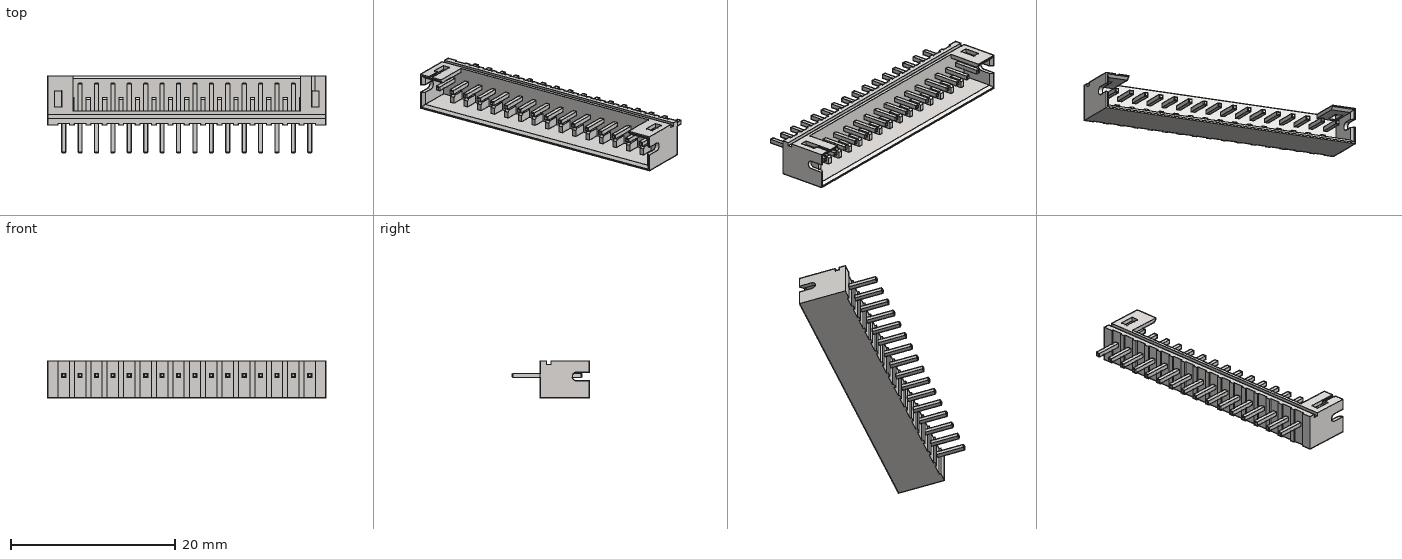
import cadquery as cq

body_length = 33.9
body_depth = 6.0
body_height = 4.5

pin_count = 16
pitch = 2.0
pin_size = 0.5
pin_tail = 3.4
pin_tip_y = 5.12
pin_z = 2.75
pin_chamfer = 0.1

wall = 0.5
floor_y = 1.73
mouth_chamfer = 0.35

end_block = 3.1

rib_width = 0.5
rib_tip_y = 3.4
rib_height = 1.02
rib_chamfer = 0.25

slot_width = 1.02
slot_depth = 2.07
slot_z = 2.6

window_inset = 0.8
window_width = 0.9
window_start_y = 2.25
window_end_y = 4.17
key_slot_width = 0.45
key_slot_depth = 0.17

groove_start_y = 0.8
groove_width = 0.5
groove_depth = 0.4

recess_width = 1.4
recess_depth = 0.2

pin_positions = [pitch * (i - (pin_count - 1) / 2) for i in range(pin_count)]
rib_positions = [x + pitch / 2 for x in pin_positions[:-1]]


def block(x_start, x_end, y_start, y_end, z_start, z_end):
    """Axis-aligned box between the given limits."""
    size = (x_end - x_start, y_end - y_start, z_end - z_start)
    return cq.Workplane("XY").box(*size, centered=False).translate((x_start, y_start, z_start))


def centred_block(x_centre, width, y_start, y_end, z_start, z_end):
    return block(x_centre - width / 2, x_centre + width / 2, y_start, y_end, z_start, z_end)


def cavity():
    """Cavity open at +Y, flared on all four sides of its mouth."""
    half_length = body_length / 2 - wall
    pocket = block(-half_length, half_length, floor_y, body_depth, wall, body_height - wall)
    flare_profile = cq.Workplane("XZ", origin=(0, body_depth, body_height / 2)).rect(
        body_length - 2 * (wall - mouth_chamfer), body_height - 2 * (wall - mouth_chamfer)
    )
    return pocket.union(flare_profile.extrude(mouth_chamfer, taper=45))


def top_opening():
    width = body_length - 2 * end_block
    return centred_block(0, width, floor_y, body_depth, body_height / 2, body_height)


def end_slots():
    radius = slot_width / 2
    bottom_y = body_depth - slot_depth
    return (
        cq.Workplane("YZ")
        .moveTo(body_depth, slot_z - radius)
        .lineTo(bottom_y + radius, slot_z - radius)
        .threePointArc((bottom_y, slot_z), (bottom_y + radius, slot_z + radius))
        .lineTo(body_depth, slot_z + radius)
        .close()
        .extrude(body_length / 2, both=True)
    )


def window(x_start):
    return block(x_start, x_start + window_width, window_start_y, window_end_y, body_height / 2, body_height)


def rib(x):
    shape = centred_block(x, rib_width, floor_y, rib_tip_y, wall, wall + rib_height)
    return shape.edges(">Y and >Z").chamfer(rib_chamfer)


def pin(x):
    z_start = pin_z - pin_size / 2
    shape = centred_block(x, pin_size, -pin_tail, pin_tip_y, z_start, z_start + pin_size)
    return shape.faces("<Y or >Y").chamfer(pin_chamfer)


def key_slot(x_start):
    """Shallow groove from the mouth to the window, in the top of one end block only."""
    return block(
        x_start, x_start + key_slot_width, window_end_y, body_depth, body_height - key_slot_depth, body_height
    )


def top_groove():
    groove_end_y = groove_start_y + groove_width
    return centred_block(
        0, body_length, groove_start_y, groove_end_y, body_height - groove_depth, body_height
    )


def back_recess(x):
    return centred_block(x, recess_width, 0, recess_depth, 0, body_height)


left_window_x = -body_length / 2 + window_inset
right_window_x = body_length / 2 - window_inset - window_width

result = centred_block(0, body_length, 0, body_depth, 0, body_height)
result = result.cut(cavity()).cut(top_opening()).cut(end_slots()).cut(top_groove())
result = result.cut(window(left_window_x)).cut(window(right_window_x)).cut(key_slot(right_window_x))

for x in pin_positions:
    result = result.cut(back_recess(x))
for x in rib_positions:
    result = result.union(rib(x))
for x in pin_positions:
    result = result.union(pin(x))